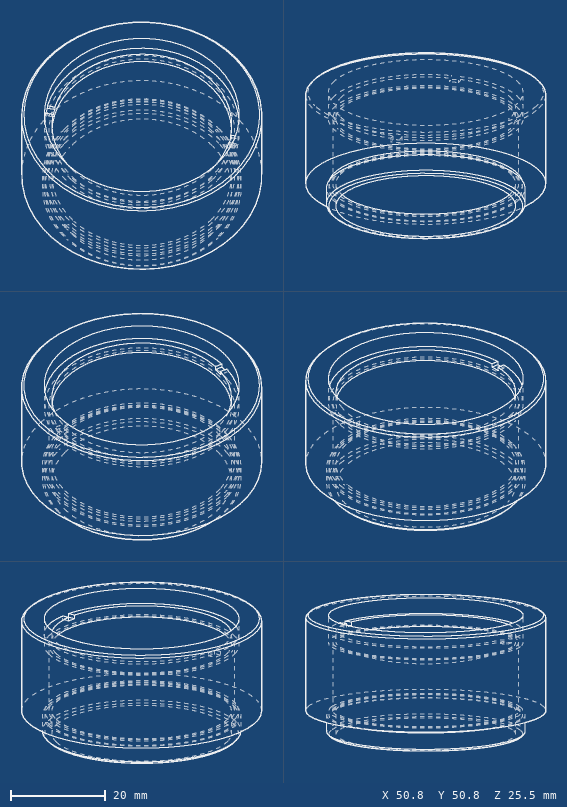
import cadquery as cq
import math

body_diameter = 50.8
total_height = 25.5
body_radius = body_diameter / 2
edge_chamfer = 0.5

thread_radius = 42.0 / 2
thread_length = 5.0
relief_width = 1.0
relief_depth = 0.5
relief_radius = thread_radius - relief_depth

bore_radius = 41.2 / 2
ring_inner_radius = 38.0 / 2
ring_recess = 3.35
ring_thickness = 2.5
ring_top = total_height - ring_recess
ring_bottom = ring_top - ring_thickness

slot_width = 2.0
slot_depth = 0.8
slot_angle = 7.3

lens_radius = 39.3 / 2
concave_radius = 53.0
lens_seat = thread_length
aperture_radius = ring_inner_radius
concave_sag = concave_radius - math.sqrt(concave_radius**2 - lens_radius**2)
concave_vertex = ring_bottom - concave_sag


def cylinder(radius, bottom, top):
    """Solid cylinder on the Z axis between two heights."""
    return cq.Workplane("XY").workplane(offset=bottom).circle(radius).extrude(top - bottom)


def make_housing():
    """Stepped barrel with a clear aperture, a lens pocket and a wider ring bore."""
    body = cylinder(body_radius, thread_length, total_height).faces(">Z").chamfer(edge_chamfer)
    relief = cylinder(relief_radius, thread_length - relief_width, thread_length)
    thread = cylinder(thread_radius, 0, thread_length - relief_width).faces("<Z").chamfer(edge_chamfer)
    barrel = body.union(relief).union(thread)
    barrel = barrel.cut(cylinder(aperture_radius, 0, lens_seat))
    barrel = barrel.cut(cylinder(lens_radius, lens_seat, ring_bottom))
    return barrel.cut(cylinder(bore_radius, ring_bottom, total_height))


def make_retaining_ring():
    """Flat ring with one pair of opposite spanner slots in its top face."""
    ring = cylinder(bore_radius, ring_bottom, ring_top).cut(
        cylinder(ring_inner_radius, ring_bottom, ring_top)
    )
    slots = (
        cq.Workplane("XY")
        .workplane(offset=ring_top - slot_depth)
        .rect(2 * body_radius, slot_width)
        .extrude(slot_depth)
        .rotate((0, 0, 0), (0, 0, 1), slot_angle)
    )
    return ring.cut(slots)


def make_lens():
    """Revolved lens with a flat underside and a spherical hollow on top."""
    half_angle = math.asin(lens_radius / concave_radius) / 2
    arc_middle_radius = concave_radius * math.sin(half_angle)
    arc_middle_height = concave_vertex + concave_radius * (1 - math.cos(half_angle))
    return (
        cq.Workplane("XZ")
        .moveTo(0, lens_seat)
        .lineTo(lens_radius, lens_seat)
        .lineTo(lens_radius, ring_bottom)
        .threePointArc((arc_middle_radius, arc_middle_height), (0, concave_vertex))
        .close()
        .revolve(360, (0, 0, 0), (0, 1, 0))
    )


housing = make_housing()
retaining_ring = make_retaining_ring()
lens = make_lens()

result = cq.Compound.makeCompound([housing.val(), retaining_ring.val(), lens.val()])